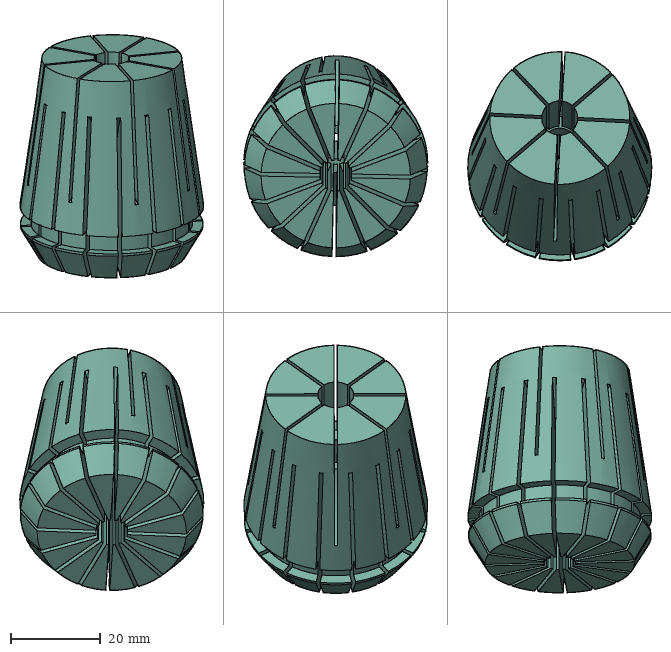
import cadquery as cq
import math

total_height = 46.0
max_diameter = 41.0
max_radius = max_diameter / 2
taper_angle = 8.0
taper_start_z = 11.1
groove_radius = 18.05
groove_start_z = 7.0
lip_radius = 20.35
lip_start_z = 6.45
nose_angle = 30.0

clamp_bore_radius = 3.55
relief_bore_radius = 4.0
relief_floor_z = 28.25

nose_slot_count = 16
nose_slot_width = 0.87
nose_slot_inner_radius = 5.45
nose_slot_inner_z = 23.6
nose_slot_outer_z = 37.8
nose_slot_saw_radius = 24.4

rear_slot_count = 8
rear_slot_width = 0.7
rear_slot_inner_radius = 6.05
rear_slot_inner_z = 28.7
rear_slot_outer_z = 18.05
rear_slot_saw_radius = 18.2
rear_slot_start_angle = -180 / nose_slot_count

clearance = 2.3


def taper_radius(z):
    """Radius of the long outer cone at height z."""
    return max_radius - (z - taper_start_z) * math.tan(math.radians(taper_angle))


def make_body():
    nose_radius = lip_radius - lip_start_z * math.tan(math.radians(nose_angle))
    outline = [
        (0, 0),
        (nose_radius, 0),
        (lip_radius, lip_start_z),
        (lip_radius, groove_start_z),
        (groove_radius, groove_start_z),
        (groove_radius, taper_start_z),
        (max_radius, taper_start_z),
        (taper_radius(total_height), total_height),
        (0, total_height),
    ]
    return cq.Workplane("XZ").polyline(outline).close().revolve(360, (0, 0, 0), (0, 1, 0))


def make_bore():
    clamp_bore = cq.Workplane("XY").circle(clamp_bore_radius).extrude(total_height)
    relief_bore = (
        cq.Workplane("XY")
        .workplane(offset=relief_floor_z)
        .circle(relief_bore_radius)
        .extrude(total_height - relief_floor_z)
    )
    return clamp_bore.union(relief_bore)


def saw_arc_middle(start, end, radius):
    """Midpoint of the minor arc from start to end that bulges toward the axis."""
    run = end[0] - start[0]
    rise = end[1] - start[1]
    chord = math.hypot(run, rise)
    sagitta = radius - math.sqrt(radius ** 2 - (chord / 2) ** 2)
    middle_radius = (start[0] + end[0]) / 2 - sagitta * abs(rise) / chord
    middle_z = (start[1] + end[1]) / 2 + sagitta * run * math.copysign(1, rise) / chord
    return middle_radius, middle_z


def make_slot(floor, outer_z, saw_radius, open_z, width):
    """Radial slot cutter: floor from the axis outward, saw run-out arc, open toward open_z."""
    arc_start = floor[-1]
    arc_end = (taper_radius(outer_z), outer_z)
    outside_radius = max_radius + clearance
    return (
        cq.Workplane("XZ")
        .polyline([(0, open_z)] + floor)
        .threePointArc(saw_arc_middle(arc_start, arc_end, saw_radius), arc_end)
        .lineTo(outside_radius, outer_z)
        .lineTo(outside_radius, open_z)
        .close()
        .extrude(width / 2, both=True)
    )


def make_nose_slot():
    return make_slot(
        floor=[
            (0, nose_slot_inner_z),
            (nose_slot_inner_radius, nose_slot_inner_z),
        ],
        outer_z=nose_slot_outer_z,
        saw_radius=nose_slot_saw_radius,
        open_z=-clearance,
        width=nose_slot_width,
    )


def make_rear_slot():
    return make_slot(
        floor=[
            (0, relief_floor_z),
            (relief_bore_radius, relief_floor_z),
            (rear_slot_inner_radius, rear_slot_inner_z),
        ],
        outer_z=rear_slot_outer_z,
        saw_radius=rear_slot_saw_radius,
        open_z=total_height + clearance,
        width=rear_slot_width,
    )


def cut_around(body, cutter, count, start_angle=0):
    """Cut evenly spaced copies of the cutter around the axis."""
    for index in range(count):
        angle = start_angle + index * 360 / count
        body = body.cut(cutter.rotate((0, 0, 0), (0, 0, 1), angle))
    return body


result = make_body().cut(make_bore())
result = cut_around(result, make_nose_slot(), nose_slot_count)
result = cut_around(result, make_rear_slot(), rear_slot_count, rear_slot_start_angle)